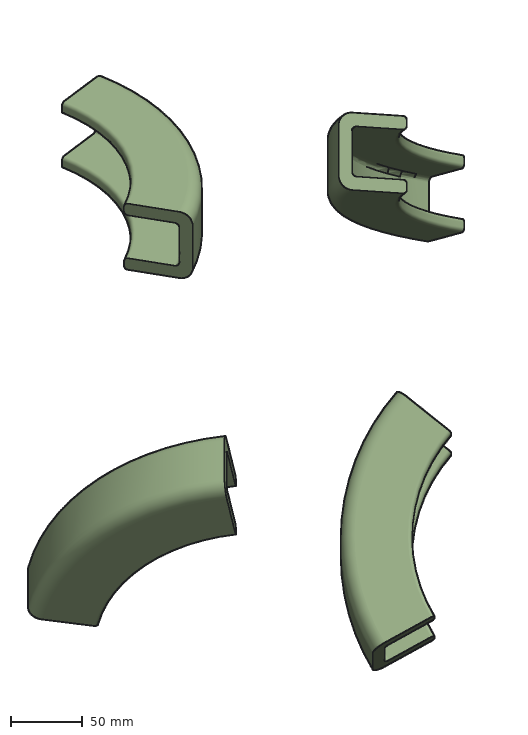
import cadquery as cq
import math

bend_angle = 70.0
length_y = 157.3
channel_width = 50.0
channel_height = 55.4
wall = 9.8
outer_corner_radius = 9.8
inner_corner_radius = 3.5
lip_radius = 3.0

outer_radius = length_y / math.sin(math.radians(bend_angle))
inner_radius = outer_radius - channel_width
web_inner_radius = outer_radius - wall
half_height = channel_height / 2
half_opening = half_height - wall


def channel_section():
    """C section in the XZ plane, open toward the bend axis."""
    return (
        cq.Workplane("XZ")
        .moveTo(inner_radius, -half_height)
        .lineTo(outer_radius, -half_height)
        .lineTo(outer_radius, half_height)
        .lineTo(inner_radius, half_height)
        .lineTo(inner_radius, half_opening)
        .lineTo(web_inner_radius, half_opening)
        .lineTo(web_inner_radius, -half_opening)
        .lineTo(inner_radius, -half_opening)
        .close()
    )


def arc_edges_at(body, radius, height):
    """Curved edges at the given radius, at the given height above and below mid-plane."""
    tolerance = 0.02
    return body.edges("%CIRCLE").filter(
        lambda edge: abs(edge.radius() - radius) < tolerance
        and abs(abs(edge.Center().z) - height) < tolerance
    )


channel = channel_section().revolve(bend_angle, (0, 0), (0, 1))

channel = arc_edges_at(channel, outer_radius, half_height).fillet(outer_corner_radius)
channel = arc_edges_at(channel, web_inner_radius, half_opening).fillet(inner_corner_radius)
channel = arc_edges_at(channel, inner_radius, half_height).fillet(lip_radius)
channel = arc_edges_at(channel, inner_radius, half_opening).fillet(lip_radius)

result = channel